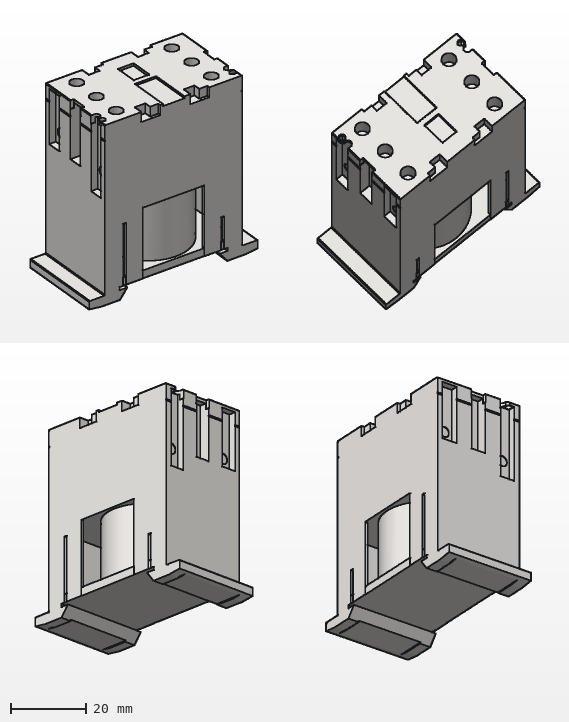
import cadquery as cq

WIDTH = 27.0
LENGTH = 55.0
HEIGHT = 55.5
BODY_LENGTH = 44.8
EDGE_BREAK = 0.22

FOOT_TOP_Z = 3.07
FOOT_TIP_Z = 0.5
FOOT_FLAT_Y = 23.5
HOOK_TIP_Y = 15.05
HOOK_ROOT_Y = 17.5
RAIL_GAP_Y = 17.6
BASE_Z = 4.0
PAD_WIDTH = 3.4
PAD_HEIGHT = 0.3

WALL_X = 0.85
CHAMBER_LENGTH = 40.0
CHAMBER_TOP_Z = 25.85
PLATE_TOP_Z = 6.47
PLATE_RECESS = 0.1
WINDOW_LENGTH = 20.0
COIL_RADIUS = 12.5
COIL_Y = 1.5

SLIT_WIDTH = 0.95
SLIT_Y = 15.98
SLIT_TOP_FRONT = 23.0
SLIT_TOP_BACK = 14.05

LEFT_CHANNEL = (-9.55, 4.7, 37.5, 2.2)
CENTRE_CHANNEL = (0.0, 4.45, 37.5, 3.3)
RIGHT_CHANNEL = (9.45, 4.45, 32.2, 2.2)
CHANNEL_TOP_Z = 54.5
CENTRE_NOTCH_DEPTH = 1.2
CENTRE_NOTCH_WIDTH = 4.75
WIRE_MARK_RADIUS = 1.5
WIRE_MARK_DEPTH = 0.1
LEFT_WIRE_MARK = (-9.64, 41.1)
RIGHT_WIRE_MARK = (9.47, 38.4)

GROOVE_Z = 50.65
GROOVE_HEIGHT = 0.44
GROOVE_DEPTH = 0.2

SCREW_COLUMNS = (-1, 0, 1)
SCREW_PITCH_X = 9.0
SCREW_ROW_Y = 15.5
SCREW_RADIUS = 2.0
SCREW_DEPTH = 5.0
NOTCH_DEPTH_Z = 2.6
U_NOTCH_X = 8.25
U_NOTCH_RADIUS = 1.1
U_NOTCH_Y = 21.4
U_MOUTH_X = 10.3
U_FLARE_Y = 21.75
PIN_HOLE_X = 10.7
PIN_HOLE_Y = 21.22
PIN_HOLE_RADIUS = 0.93
CATCH_DEPTH_Z = 3.07
CATCH_SHALLOW = 0.92
CATCH_DEEP = 3.08
CATCH_END_Y = 11.65
CATCH_STEP = 2.65
CATCH_LENGTH = 6.15
CATCH_PITCH = 16.0
CATCHES_PER_SIDE = 2
BUTTON_X = (-8.4, -1.2)
BUTTON_Y = (-2.5, 2.6)
BUTTON_DEPTH = 0.8
LABEL_START_X = 0.55
LABEL_Y = (-3.4, 3.55)
LABEL_DEPTH = 0.6

HALF_WIDTH = WIDTH / 2
HALF_LENGTH = LENGTH / 2
HALF_BODY = BODY_LENGTH / 2
SIDES = (-1, 1)


def block(x, y, z):
    """Box between the given (low, high) limits on each axis; limits may be in either order."""
    centre = [(a + b) / 2 for a, b in (x, y, z)]
    size = [abs(b - a) for a, b in (x, y, z)]
    return cq.Workplane("XY").box(*size).translate(tuple(centre))


def upright(x, y, radius, z_low, z_high):
    """Vertical cylinder between two heights."""
    return cq.Workplane("XY", origin=(x, y, z_low)).circle(radius).extrude(z_high - z_low)


def housing():
    """Solid housing with both hooked feet, extruded along X from its half outline."""
    half = [
        (0, BASE_Z),
        (RAIL_GAP_Y, BASE_Z),
        (RAIL_GAP_Y, FOOT_TOP_Z),
        (HOOK_TIP_Y, FOOT_TOP_Z),
        (HOOK_ROOT_Y, 0),
        (FOOT_FLAT_Y, 0),
        (HALF_LENGTH, FOOT_TIP_Z),
        (HALF_LENGTH, FOOT_TOP_Z - EDGE_BREAK),
        (HALF_LENGTH - EDGE_BREAK, FOOT_TOP_Z),
        (HALF_BODY + EDGE_BREAK, FOOT_TOP_Z),
        (HALF_BODY, FOOT_TOP_Z + EDGE_BREAK),
        (HALF_BODY, HEIGHT - EDGE_BREAK),
        (HALF_BODY - EDGE_BREAK, HEIGHT),
        (0, HEIGHT),
    ]
    solid = cq.Workplane("YZ").polyline(half).close().extrude(HALF_WIDTH, both=True)
    return solid.union(solid.mirror("XZ"))


def pad_relief():
    """Shallow clearance under the feet that leaves a pad at each corner."""
    reach = HALF_WIDTH - PAD_WIDTH
    return block((-reach, reach), (-HALF_LENGTH, HALF_LENGTH), (0, PAD_HEIGHT))


def chamber():
    """Cavity around the standing coil, with a window and two slits in each side wall."""
    inner_x = HALF_WIDTH - WALL_X
    half_chamber = CHAMBER_LENGTH / 2
    cavity = block((-inner_x, inner_x), (-half_chamber, half_chamber), (PLATE_TOP_Z, CHAMBER_TOP_Z))
    cavity = cavity.cut(upright(0, COIL_Y, COIL_RADIUS, PLATE_TOP_Z, CHAMBER_TOP_Z))
    openings = (
        (0, WINDOW_LENGTH, CHAMBER_TOP_Z),
        (-SLIT_Y, SLIT_WIDTH, SLIT_TOP_FRONT),
        (SLIT_Y, SLIT_WIDTH, SLIT_TOP_BACK),
    )
    for side in SIDES:
        outer_x = side * HALF_WIDTH
        for centre_y, length, top in openings:
            span = (centre_y - length / 2, centre_y + length / 2)
            cavity = cavity.union(block((side * inner_x, outer_x), span, (PLATE_TOP_Z, top)))
            plate_face = (outer_x - side * PLATE_RECESS, outer_x)
            cavity = cavity.union(block(plate_face, span, (BASE_Z, PLATE_TOP_Z)))
    return cavity


def channel(centre_x, width, bottom_z, depth, top_z=CHANNEL_TOP_Z):
    """Vertical channel in the -Y end wall."""
    span = (centre_x - width / 2, centre_x + width / 2)
    return block(span, (-HALF_BODY, depth - HALF_BODY), (bottom_z, top_z))


def wire_mark(x, z, channel_depth):
    """Shallow round recess in the back of a channel of the -Y end wall."""
    plane = cq.Workplane("XZ", origin=(x, channel_depth - HALF_BODY, z))
    return plane.circle(WIRE_MARK_RADIUS).extrude(-WIRE_MARK_DEPTH)


def u_notch():
    """Round-ended notch at the -Y top edge, flared on one side of its mouth."""
    outline = (
        cq.Workplane("XY", origin=(0, 0, HEIGHT - NOTCH_DEPTH_Z))
        .moveTo(U_NOTCH_X - U_NOTCH_RADIUS, -HALF_BODY)
        .lineTo(U_NOTCH_X - U_NOTCH_RADIUS, -U_NOTCH_Y)
        .threePointArc((U_NOTCH_X, U_NOTCH_RADIUS - U_NOTCH_Y), (U_NOTCH_X + U_NOTCH_RADIUS, -U_NOTCH_Y))
        .lineTo(U_NOTCH_X + U_NOTCH_RADIUS, -U_FLARE_Y)
        .lineTo(U_MOUTH_X, -HALF_BODY)
        .close()
    )
    return outline.extrude(NOTCH_DEPTH_Z)


def shadow_groove():
    """V-shaped groove across the full width of the -Y end wall."""
    outline = [
        (-HALF_BODY, GROOVE_Z - GROOVE_HEIGHT / 2),
        (GROOVE_DEPTH - HALF_BODY, GROOVE_Z),
        (-HALF_BODY, GROOVE_Z + GROOVE_HEIGHT / 2),
    ]
    return cq.Workplane("YZ").polyline(outline).close().extrude(HALF_WIDTH, both=True)


def end_wall_cuts():
    """Everything cut into the -Y end wall."""
    cuts = channel(*LEFT_CHANNEL)
    cuts = cuts.union(channel(*CENTRE_CHANNEL))
    cuts = cuts.union(channel(*RIGHT_CHANNEL))
    notch_bottom = HEIGHT - NOTCH_DEPTH_Z
    cuts = cuts.union(channel(0, CENTRE_NOTCH_WIDTH, notch_bottom, CENTRE_NOTCH_DEPTH, HEIGHT))
    cuts = cuts.union(wire_mark(*LEFT_WIRE_MARK, LEFT_CHANNEL[-1]))
    cuts = cuts.union(wire_mark(*RIGHT_WIRE_MARK, RIGHT_CHANNEL[-1]))
    cuts = cuts.union(shadow_groove())
    cuts = cuts.union(u_notch())
    return cuts.union(upright(PIN_HOLE_X, -PIN_HOLE_Y, PIN_HOLE_RADIUS, notch_bottom, HEIGHT))


def screw_holes():
    """Two rows of three blind terminal screw holes."""
    spots = [(i * SCREW_PITCH_X, side * SCREW_ROW_Y) for i in SCREW_COLUMNS for side in SIDES]
    plane = cq.Workplane("XY", origin=(0, 0, HEIGHT - SCREW_DEPTH))
    return plane.pushPoints(spots).circle(SCREW_RADIUS).extrude(SCREW_DEPTH)


def catch(side, end_y):
    """Stepped accessory catch in the top of one side wall, running toward -Y from end_y."""
    z = (HEIGHT - CATCH_DEPTH_Z, HEIGHT)
    step_y = end_y - CATCH_STEP
    outer = side * HALF_WIDTH
    narrow = block((outer, outer - side * CATCH_SHALLOW), (step_y, end_y), z)
    wide = block((outer, outer - side * CATCH_DEEP), (end_y - CATCH_LENGTH, step_y), z)
    return narrow.union(wide)


def top_recesses():
    """Shallow button window and label recess."""
    button = block(BUTTON_X, BUTTON_Y, (HEIGHT - BUTTON_DEPTH, HEIGHT))
    label = block((LABEL_START_X, HALF_WIDTH), LABEL_Y, (HEIGHT - LABEL_DEPTH, HEIGHT))
    return button.union(label)


part = housing().cut(pad_relief()).cut(chamber())
end_cuts = end_wall_cuts()
part = part.cut(end_cuts).cut(end_cuts.mirror("XZ"))
part = part.cut(screw_holes()).cut(top_recesses())
for wall_side in SIDES:
    for catch_index in range(CATCHES_PER_SIDE):
        part = part.cut(catch(wall_side, CATCH_END_Y - catch_index * CATCH_PITCH))

result = part